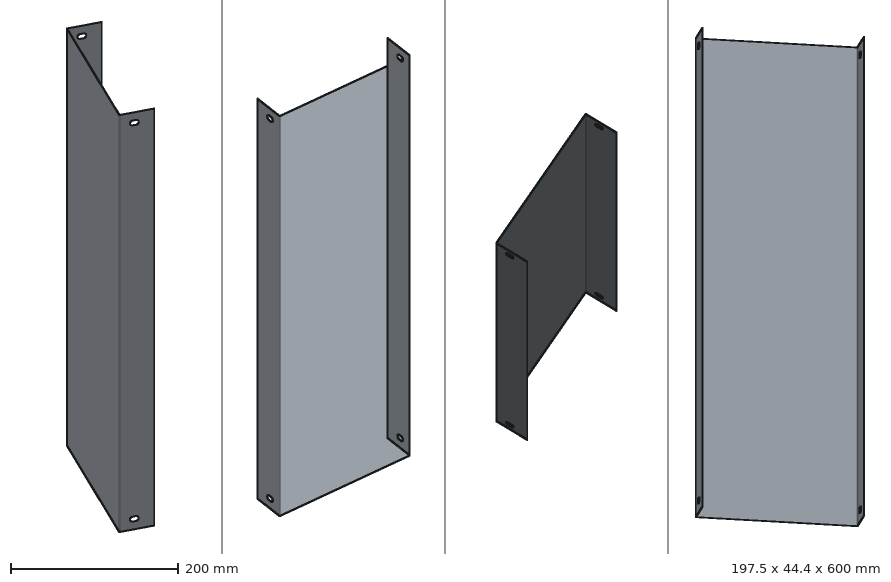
import cadquery as cq

width = 197.5
depth = 44.35
height = 600.0

thickness = 0.8
inner_bend_radius = 0.2
outer_bend_radius = inner_bend_radius + thickness

slot_length = 11.0
slot_height = 7.0
slot_from_rear = 25.0
slot_from_end = 15.0


def folded_channel():
    """U-shaped sheet: a front panel at Y = 0 with a flange folded back along each side."""
    outer = (
        cq.Workplane("XY")
        .box(width, depth, height, centered=(True, False, False))
        .edges("|Z and <Y")
        .fillet(outer_bend_radius)
    )
    inner = (
        cq.Workplane("XY")
        .box(width - 2 * thickness, depth, height, centered=(True, False, False))
        .edges("|Z and <Y")
        .fillet(inner_bend_radius)
        .translate((0, thickness, 0))
    )
    return outer.cut(inner)


def flange_slots():
    """Cutters for the slots near the top and bottom, each passing through both flanges."""
    slot_y = depth - slot_from_rear
    centres = [
        (slot_y, slot_from_end),
        (slot_y, height - slot_from_end),
    ]
    return (
        cq.Workplane("YZ")
        .pushPoints(centres)
        .slot2D(slot_length, slot_height)
        .extrude(width, both=True)
    )


result = folded_channel().cut(flange_slots())